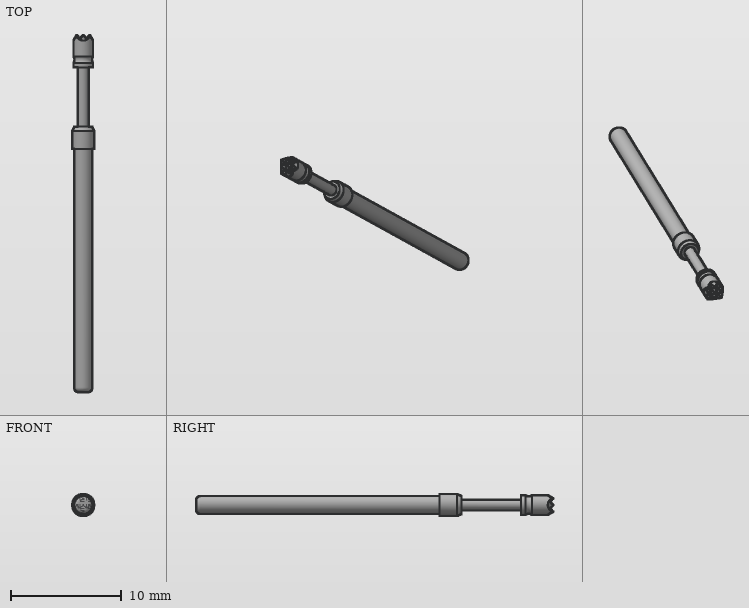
import cadquery as cq
import math


barrel_length = 22.0
barrel_radius = 0.825
barrel_end_fillet = 0.4
collar_length = 2.0
collar_radius = 1.0
collar_taper_length = 0.4
collar_front_radius = 0.82

stem_length = 5.35
stem_radius = 0.5
head_length = 2.95
head_radius = 0.9
head_rear_land = 0.4
groove_width = 0.6
groove_depth = 0.1

tooth_pitch = 0.6
facet_angle = 60.0

barrel_end = -barrel_length
head_rear = collar_length + stem_length
groove_rear = head_rear + head_rear_land
groove_front = groove_rear + groove_width
tip = head_rear + head_length


def make_body():
    """Full turned profile, from the barrel end to the tip plane."""
    groove_bottom = (head_radius - groove_depth, groove_rear + groove_width / 2)
    profile = (
        cq.Workplane("XY")
        .moveTo(0, barrel_end)
        .lineTo(barrel_radius - barrel_end_fillet, barrel_end)
        .radiusArc((barrel_radius, barrel_end + barrel_end_fillet), -barrel_end_fillet)
        .lineTo(barrel_radius, 0)
        .lineTo(collar_radius, 0)
        .lineTo(collar_radius, collar_length - collar_taper_length)
        .lineTo(collar_front_radius, collar_length)
        .lineTo(stem_radius, collar_length)
        .lineTo(stem_radius, head_rear)
        .lineTo(head_radius, head_rear)
        .lineTo(head_radius, groove_rear)
        .threePointArc(groove_bottom, (head_radius, groove_front))
        .lineTo(head_radius, tip)
        .lineTo(0, tip)
        .close()
    )
    return profile.revolve(360, (0, 0, 0), (0, 1, 0))


def make_tooth_groove():
    """Right-angled V groove along Z, between the middle row of teeth and the row at +X."""
    half_width = tooth_pitch / 2
    return (
        cq.Workplane("XY")
        .moveTo(0, tip)
        .lineTo(tooth_pitch, tip)
        .lineTo(half_width, tip - half_width)
        .close()
        .extrude(head_radius, both=True)
    )


def make_outer_facet():
    """Wedge along Z that slopes the +X row of teeth down from its points to the head surface."""
    outer_edge = collar_radius
    outer_drop = (outer_edge - tooth_pitch) * math.tan(math.radians(facet_angle))
    return (
        cq.Workplane("XY")
        .moveTo(tooth_pitch, tip)
        .lineTo(outer_edge, tip)
        .lineTo(outer_edge, tip - outer_drop)
        .close()
        .extrude(head_radius, both=True)
    )


def cut_crown(body):
    """Cut one groove and one facet toward each of the four sides of the tip."""
    for cutter in (make_tooth_groove(), make_outer_facet()):
        for turn in (0, 90, 180, 270):
            body = body.cut(cutter.rotate((0, 0, 0), (0, 1, 0), turn))
    return body


result = cut_crown(make_body())